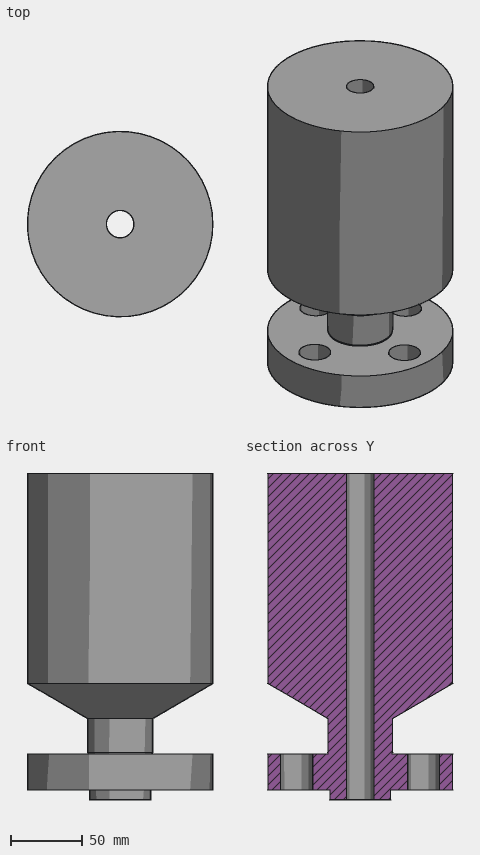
import cadquery as cq

BODY_DIA = 130.0
NECK_DIA = 45.7
COLLAR_DIA = 45.2
FACE_DIA = 42.9
BORE_DIA = 19.05

TOTAL_HEIGHT = 228.6
FACE_HEIGHT = 6.8
FLANGE_THICKNESS = 25.4
COLLAR_HEIGHT = 0.8
NECK_HEIGHT = 23.8
CONE_HEIGHT = 24.6

BOLT_COUNT = 4
BOLT_DIA = 22.2
BOLT_CIRCLE_DIA = 88.9

FLANGE_BOTTOM = FACE_HEIGHT
FLANGE_TOP = FLANGE_BOTTOM + FLANGE_THICKNESS
NECK_BOTTOM = FLANGE_TOP + COLLAR_HEIGHT
CONE_BOTTOM = NECK_BOTTOM + NECK_HEIGHT
BODY_BOTTOM = CONE_BOTTOM + CONE_HEIGHT


def turned_body():
    """Revolve the half section: raised face, flange, collar, neck, cone and cylinder."""
    body_radius = BODY_DIA / 2
    neck_radius = NECK_DIA / 2
    collar_radius = COLLAR_DIA / 2
    face_radius = FACE_DIA / 2
    half_section = [
        (0, 0),
        (face_radius, 0),
        (face_radius, FLANGE_BOTTOM),
        (body_radius, FLANGE_BOTTOM),
        (body_radius, FLANGE_TOP),
        (collar_radius, FLANGE_TOP),
        (collar_radius, NECK_BOTTOM),
        (neck_radius, NECK_BOTTOM),
        (neck_radius, CONE_BOTTOM),
        (body_radius, BODY_BOTTOM),
        (body_radius, TOTAL_HEIGHT),
        (0, TOTAL_HEIGHT),
    ]
    profile = cq.Workplane("XZ").polyline(half_section).close()
    return profile.revolve(360, (0, 0, 0), (0, 1, 0))


def center_bore():
    """Bore along the axis, through the whole part."""
    return cq.Workplane("XY").circle(BORE_DIA / 2).extrude(TOTAL_HEIGHT)


def bolt_holes():
    """Holes through the flange only, evenly spaced on the bolt circle from +X."""
    holes = cq.Workplane("XY").workplane(offset=FLANGE_BOTTOM)
    holes = holes.polarArray(BOLT_CIRCLE_DIA / 2, 0, 360, BOLT_COUNT)
    return holes.circle(BOLT_DIA / 2).extrude(FLANGE_THICKNESS)


result = turned_body().cut(center_bore()).cut(bolt_holes())